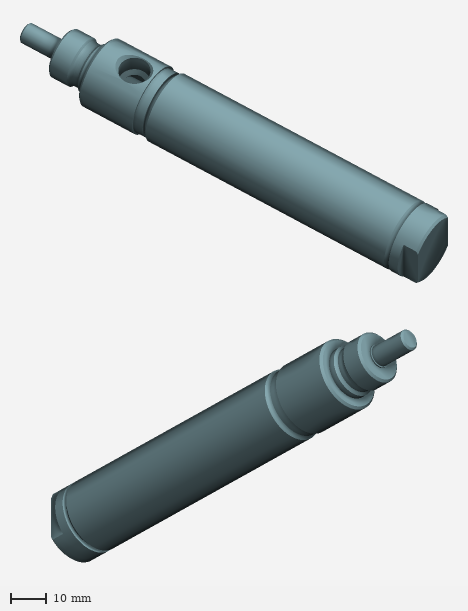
import cadquery as cq


nose_start = 12.8
nose_end = 19.3
neck_start = 21.0
neck_end = 22.4
shoulder_start = 25.1
head_end = 43.6
spigot_end = 46.7
barrel_start = 47.2
cap_start = 131.0
flat_start = 134.0
overall_length = 138.9

body_diameter = 21.8
body_radius = body_diameter / 2
rod_radius = 3.2
lip_radius = 3.6
nose_radius = 7.8
neck_radius = 7.0
neck_flare_radius = 7.2
spigot_radius = 10.3

edge_chamfer = 0.7
rod_chamfer = 0.5
lip_height = 0.4
barrel_taper = 1.5

groove_radius = body_radius - barrel_taper
barrel_front_radius = groove_radius + barrel_start - spigot_end

flat_half_width = 7.8

port_x = 37.2
port_radius = 4.6
port_mouth_diameter = 11.3
port_mouth_radius = port_mouth_diameter / 2
port_mouth_depth = 1.4
port_tip_height = 0.8


def revolve_profile(points):
    """Spin (x, radius) points, closed along the axis, about X."""
    first_x = points[0][0]
    last_x = points[-1][0]
    outline = [(first_x, 0), *points, (last_x, 0)]
    return cq.Workplane("XY").polyline(outline).close().revolve(360, (0, 0, 0), (1, 0, 0))


def make_rod():
    """Piston rod, chamfered at the tip and ending on the back of the head's block."""
    return revolve_profile([
        (0, rod_radius - rod_chamfer),
        (rod_chamfer, rod_radius),
        (head_end, rod_radius),
    ])


def make_port_cutter():
    """Vertical port: flared mouth, straight wall, drill tip, then a bore down to the rod."""
    mouth_bottom = body_radius - port_mouth_depth
    outline = [
        (0, 0),
        (rod_radius, 0),
        (rod_radius, rod_radius),
        (port_radius, rod_radius + port_tip_height),
        (port_radius, mouth_bottom),
        (port_mouth_radius, body_radius),
        (0, body_radius),
    ]
    cutter = cq.Workplane("XZ").polyline(outline).close().revolve(360, (0, 0, 0), (0, 1, 0))
    return cutter.translate((port_x, 0, 0))


def flare_arc_radius(length):
    """Radius of the arc that drops to the neck over this length and ends parallel to the axis."""
    drop = neck_flare_radius - neck_radius
    return (length ** 2 + drop ** 2) / (2 * drop)


def make_head(rod):
    """Nose, neck, ported block and barrel spigot, with a blind bore that the rod fills."""
    neck_cone = nose_radius - neck_flare_radius
    relief_chamfer = nose_radius - neck_radius
    flare_start = nose_end + neck_cone
    head = (
        cq.Workplane("XY")
        .moveTo(nose_start - lip_height, 0)
        .lineTo(nose_start - lip_height, lip_radius)
        .lineTo(nose_start, lip_radius)
        .lineTo(nose_start, nose_radius - edge_chamfer)
        .lineTo(nose_start + edge_chamfer, nose_radius)
        .lineTo(nose_end, nose_radius)
        .lineTo(flare_start, neck_flare_radius)
        .radiusArc((neck_start, neck_radius), -flare_arc_radius(neck_start - flare_start))
        .lineTo(neck_end, neck_radius)
        .lineTo(neck_end + relief_chamfer, nose_radius)
        .lineTo(shoulder_start, nose_radius)
        .lineTo(shoulder_start, body_radius - edge_chamfer)
        .lineTo(shoulder_start + edge_chamfer, body_radius)
        .lineTo(head_end, body_radius)
        .lineTo(head_end, spigot_radius)
        .lineTo(spigot_end, spigot_radius)
        .lineTo(spigot_end, groove_radius)
        .lineTo(barrel_start, barrel_front_radius)
        .lineTo(barrel_start, 0)
        .close()
        .revolve(360, (0, 0, 0), (1, 0, 0))
    )
    return head.cut(make_port_cutter()).cut(rod)


def make_barrel():
    """Barrel with a 45 degree taper at each end."""
    return revolve_profile([
        (barrel_start, barrel_front_radius),
        (spigot_end + barrel_taper, body_radius),
        (cap_start - barrel_taper, body_radius),
        (cap_start, groove_radius),
    ])


def make_end_cap():
    """Rear cap with two wrench flats facing -Y and +Y."""
    cap = revolve_profile([
        (cap_start, body_radius),
        (overall_length - edge_chamfer, body_radius),
        (overall_length, body_radius - edge_chamfer),
    ])
    flat_length = overall_length - flat_start
    flat_depth = body_radius - flat_half_width
    for side in (-1, 1):
        flat_cutter = cq.Workplane("XY").box(flat_length, flat_depth, 2 * body_radius).translate(
            (flat_start + flat_length / 2, side * (flat_half_width + flat_depth / 2), 0)
        )
        cap = cap.cut(flat_cutter)
    return cap


rod = make_rod()
head = make_head(rod)
barrel = make_barrel()
end_cap = make_end_cap()

result = cq.Compound.makeCompound([rod.val(), head.val(), barrel.val(), end_cap.val()])